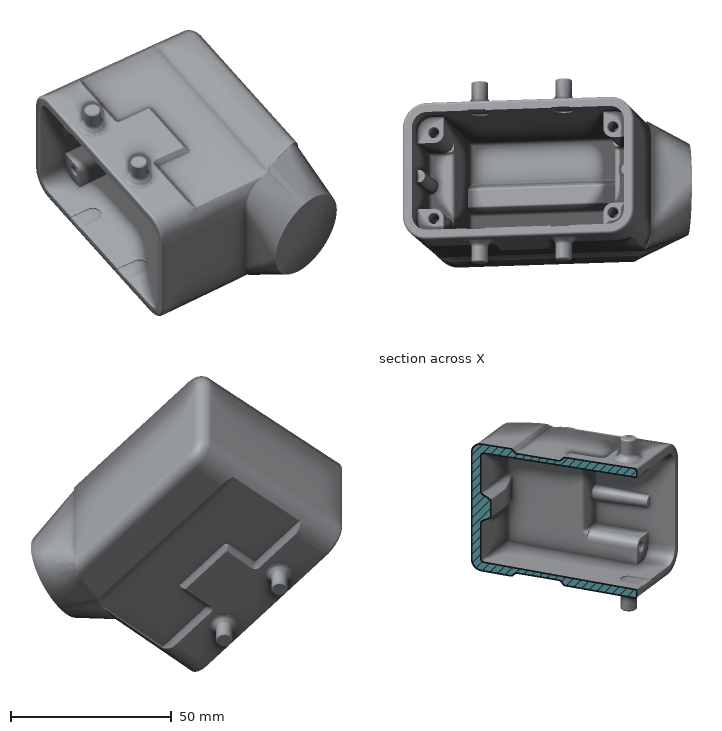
import cadquery as cq
import math


body_length = 73.1
body_width = 43.2
body_height = 57.1
corner_radius = 7.7
roof_fillet = 3.6
rim_fillet = 0.8
outer_draft = 0.5
wall = 3.0

cavity_depth = 53.65
inner_draft = 0.6
floor_fillet = 0.9
post_end_depth = 9.1
pocket_depth = 27.25
pocket_half_width = 10.4
centre_length = 50.6
post_fillet = 3.0
shoulder_fillet = 1.1
post_hole_x = 28.4
post_hole_z = 13.5
post_hole_diameter = 3.2
post_hole_depth = 10.2
post_hole_chamfer = 0.25

rib_end_depth = 8.5
rib_radius = 2.0
rib_centre_x = 33.05
rib_draft = 2.0

ridge_half_base = 4.7
ridge_half_top = 3.0
ridge_height = 3.4
ridge_fillet = 0.7
ramp_length = 8.1
ramp_drop = 1.9

pin_x = 13.3
pin_y = 6.2
pin_radius = 2.55
pin_tip_z = 28.49
pin_tip_chamfer = 0.3
pin_foot_radius = 4.1
pin_foot_fillet = 1.45
pin_relief_radius = 2.8
pin_relief_depth = 0.25

panel_z = 19.9
panel_half_length = 32.6
panel_bottom = 14.7
panel_top = 41.7
panel_slope = 48.0
tongue_half_width = 11.6
tongue_top = 26.6
tongue_bevel = 0.85

outlet_tilt = math.radians(15.0)
outlet_x = 45.0
outlet_y = 47.6
outlet_radius = 14.2
outlet_root_distance = 14.6
outlet_root_lean = 0.12
outlet_root_half_height = 14.1
outlet_root_half_width = 21.0
outlet_upper_corner = 5.1
outlet_lower_corner = 6.8
outlet_step = 2.0


def up_plane(x=0.0, y=0.0, z=0.0):
    """Plane facing +Y, with its first axis along +X."""
    return cq.Workplane(cq.Plane(origin=(x, y, z), xDir=(1, 0, 0), normal=(0, 1, 0)))


def box(x0, x1, y0, y1, half_width):
    return (
        cq.Workplane("XY")
        .box(x1 - x0, y1 - y0, 2 * half_width, centered=(False, False, True))
        .translate((x0, y0, 0))
    )


def drafted_block(length, width, radius, height, draft):
    outline = cq.Sketch().rect(length, width).vertices().fillet(radius)
    return up_plane().placeSketch(outline).extrude(height, taper=draft)


def outer_body():
    body = drafted_block(body_length, body_width, corner_radius, body_height, outer_draft)
    body = body.faces(">Y").edges().fillet(roof_fillet)
    return body.faces("<Y").edges().fillet(rim_fillet)


def post_rounding(side_x, side_z):
    """Clearance that rounds off the inner corner of a post, down to the pocket floor fillet."""
    corner_x = centre_length / 2
    corner_z = pocket_half_width
    bend = post_fillet * (1 - math.sqrt(0.5))
    overlap = 0.4
    outline = (
        up_plane()
        .moveTo(corner_x, corner_z + post_fillet)
        .threePointArc((corner_x + bend, corner_z + bend), (corner_x + post_fillet, corner_z))
        .lineTo(corner_x + post_fillet, corner_z - overlap)
        .lineTo(corner_x - overlap, corner_z - overlap)
        .lineTo(corner_x - overlap, corner_z + post_fillet)
        .close()
    )
    rounding = outline.extrude(pocket_depth - floor_fillet)
    if side_x < 0:
        rounding = rounding.mirror("YZ")
    return rounding if side_z < 0 else rounding.mirror("XY")


def end_pocket(side, inner):
    """Space between the two posts of one end."""
    half_length = body_length / 2
    half_centre = centre_length / 2
    pocket = box(half_centre - 2 * shoulder_fillet, half_length, 0, pocket_depth, pocket_half_width)
    pocket = pocket.intersect(inner)
    floor_walls = pocket.faces(">Y").edges().edges(cq.selectors.BoxSelector(
        (half_centre, 0, -body_width), (half_length, body_height, body_width)
    ))
    pocket = floor_walls.fillet(floor_fillet)
    return pocket if side > 0 else pocket.mirror("YZ")


def cavity():
    half_length = body_length / 2
    half_centre = centre_length / 2
    inner = drafted_block(
        body_length - 2 * wall, body_width - 2 * wall, corner_radius - wall, cavity_depth, inner_draft
    )
    centre = box(-half_centre, half_centre, 0, cavity_depth, body_width / 2).intersect(inner)
    space = centre.cut(floor_ridge()).faces(">Y").edges().fillet(floor_fillet)
    for side in (-1, 1):
        space = space.union(end_pocket(side, inner))
    shoulders = []
    for x in (-half_centre, half_centre):
        shoulders += space.edges(cq.selectors.NearestToPointSelector((x, pocket_depth, 0))).vals()
    space = space.newObject(shoulders).fillet(shoulder_fillet)
    for side_x in (-1, 1):
        for side_z in (-1, 1):
            space = space.union(post_rounding(side_x, side_z))
    mouth = box(-half_length, half_length, 0, post_end_depth, body_width / 2).intersect(inner)
    rib = end_rib()
    return space.union(mouth).cut(rib).cut(rib.mirror("YZ"))


def end_rib():
    wall_x = body_length / 2 - wall / 2
    return (
        up_plane(y=rib_end_depth)
        .moveTo(wall_x, -rib_radius)
        .lineTo(rib_centre_x, -rib_radius)
        .threePointArc((rib_centre_x - rib_radius, 0), (rib_centre_x, rib_radius))
        .lineTo(wall_x, rib_radius)
        .close()
        .extrude(pocket_depth - rib_end_depth + 0.85, taper=-rib_draft)
    )


def post_holes():
    radius = post_hole_diameter / 2
    profile = (
        cq.Workplane("XY")
        .polyline([
            (0, 0),
            (radius + post_hole_chamfer, 0),
            (radius, post_hole_chamfer),
            (radius, post_hole_depth),
            (0, post_hole_depth),
        ])
        .close()
        .revolve(360, (0, 0, 0), (0, 1, 0))
    )
    holes = cq.Workplane("XY")
    for x in (-post_hole_x, post_hole_x):
        for z in (-post_hole_z, post_hole_z):
            holes = holes.add(profile.translate((x, post_end_depth, z)))
    return holes.combine()


def floor_ridge():
    end_x = centre_length / 2
    crest_y = cavity_depth - ridge_height
    section = [
        (cavity_depth, -ridge_half_base),
        (crest_y, -ridge_half_top),
        (crest_y, ridge_half_top),
        (cavity_depth, ridge_half_base),
    ]
    ridge = cq.Workplane("YZ", origin=(-end_x, 0, 0)).polyline(section).close().extrude(centre_length)
    ramp = (
        cq.Workplane("XY")
        .polyline([(end_x - ramp_length, crest_y), (end_x, crest_y), (end_x, crest_y + ramp_drop)])
        .close()
        .extrude(ridge_half_base, both=True)
    )
    ridge = ridge.cut(ramp)
    return ridge.edges(cq.selectors.BoxSelector(
        (-end_x + 0.85, crest_y - 0.85, -ridge_half_base), (end_x - 0.85, cavity_depth - 0.1, ridge_half_base)
    )).edges("not |Z").fillet(ridge_fillet)


def locking_pin(x, side):
    root_z = body_width / 2
    sink_z = root_z - wall / 2
    cone_top_z = root_z + pin_foot_radius - pin_radius
    blend = pin_foot_fillet * math.tan(math.radians(22.5))
    slant = blend * math.sqrt(0.5)
    near = blend - pin_foot_fillet * math.sin(math.radians(22.5))
    far = pin_foot_fillet * (1 - math.cos(math.radians(22.5)))
    pin = (
        cq.Workplane("XZ")
        .moveTo(0, sink_z)
        .lineTo(pin_foot_radius + blend, sink_z)
        .lineTo(pin_foot_radius + blend, root_z)
        .threePointArc((pin_foot_radius + near, root_z + far), (pin_foot_radius - slant, root_z + slant))
        .lineTo(pin_radius + slant, cone_top_z - slant)
        .threePointArc((pin_radius + far, cone_top_z + near), (pin_radius, cone_top_z + blend))
        .lineTo(pin_radius, pin_tip_z - pin_tip_chamfer)
        .lineTo(pin_radius - pin_tip_chamfer, pin_tip_z)
        .lineTo(0, pin_tip_z)
        .close()
        .revolve(360, (0, 0, 0), (0, 1, 0))
    )
    if side < 0:
        pin = pin.mirror("XY")
    return pin.translate((x, pin_y, 0))


def pin_relief(x):
    """Shallow round-ended slots in both inner walls behind a pin."""
    half_width = body_width / 2 - wall + pin_relief_depth
    slot = box(x - pin_relief_radius, x + pin_relief_radius, 0, pin_y, half_width)
    slot_end = cq.Workplane("XY").center(x, pin_y).circle(pin_relief_radius).extrude(half_width, both=True)
    return slot.union(slot_end)


def panel_recess(side):
    bevel = tongue_bevel
    outline = [
        (-panel_half_length, panel_bottom),
        (-tongue_half_width, panel_bottom),
        (-tongue_half_width, tongue_top - bevel),
        (-tongue_half_width + bevel, tongue_top),
        (tongue_half_width - bevel, tongue_top),
        (tongue_half_width, tongue_top - bevel),
        (tongue_half_width, panel_bottom),
        (panel_half_length, panel_bottom),
        (panel_half_length, panel_top),
        (-panel_half_length, panel_top),
    ]
    recess = (
        cq.Workplane("XY", origin=(0, 0, panel_z))
        .polyline(outline)
        .close()
        .extrude(body_width / 2 - panel_z + 0.85, taper=-panel_slope)
    )
    return recess if side > 0 else recess.mirror("XY")


def outlet_point(along, across, z):
    """Point in the outlet's own frame: along its axis, across it, and Z."""
    x = outlet_x + along * math.cos(outlet_tilt) - across * math.sin(outlet_tilt)
    y = outlet_y + along * math.sin(outlet_tilt) + across * math.cos(outlet_tilt)
    return cq.Vector(x, y, z)


def root_point(across, z):
    return outlet_point(-outlet_root_distance - outlet_root_lean * across, across, z)


def mouth_point(angle):
    """Point on the round mouth; the angle runs from the top towards +Z."""
    return outlet_point(0, outlet_radius * math.cos(angle), outlet_radius * math.sin(angle))


def flat_face(*points):
    return cq.Face.makeFromWires(cq.Wire.makePolygon(list(points), close=True))


def outlet_seat():
    """Region past the outlet's root plane, cleared from the body before the outlet is added."""
    top = root_point(2 * outlet_radius, 0)
    bottom = root_point(-outlet_root_half_height, 0)
    outline = [(top.x, top.y), (bottom.x, bottom.y), (outlet_x, bottom.y), (outlet_x, top.y)]
    return cq.Workplane("XY").polyline(outline).close().extrude(body_width, both=True)


def outlet():
    high = outlet_root_half_height
    wide = outlet_root_half_width
    narrow = panel_z
    top_mid = root_point(high, 0)
    top_corner = root_point(high, wide - outlet_upper_corner)
    side_high = root_point(high - outlet_upper_corner, wide)
    step_high = root_point(0, wide)
    step_low = root_point(-outlet_step, narrow)
    side_low = root_point(outlet_lower_corner - high, narrow)
    bottom_corner = root_point(-high, narrow - outlet_lower_corner)
    bottom_mid = root_point(-high, 0)

    upper_bend = outlet_upper_corner * (1 - math.sqrt(0.5))
    lower_bend = outlet_lower_corner * (1 - math.sqrt(0.5))
    upper_arc = cq.Edge.makeThreePointArc(
        top_corner, root_point(high - upper_bend, wide - upper_bend), side_high
    )
    lower_arc = cq.Edge.makeThreePointArc(
        side_low, root_point(lower_bend - high, narrow - lower_bend), bottom_corner
    )
    step_edge = cq.Edge.makeLine(step_high, step_low)

    angles = [0, math.pi / 2, math.pi / 2 + math.asin(outlet_step / outlet_radius), math.pi]
    mouth_top, mouth_side, mouth_step, mouth_bottom = [mouth_point(a) for a in angles]
    mouth_arcs = [
        cq.Edge.makeThreePointArc(mouth_point(a), mouth_point((a + b) / 2), mouth_point(b))
        for a, b in zip(angles, angles[1:])
    ]
    root_edges = [
        cq.Edge.makeLine(top_mid, top_corner),
        upper_arc,
        cq.Edge.makeLine(side_high, step_high),
        step_edge,
        cq.Edge.makeLine(step_low, side_low),
        lower_arc,
        cq.Edge.makeLine(bottom_corner, bottom_mid),
        cq.Edge.makeLine(bottom_mid, top_mid),
    ]
    mouth_diameter = cq.Edge.makeLine(mouth_bottom, mouth_top)
    faces = [
        cq.Face.makeFromWires(cq.Wire.assembleEdges(root_edges)),
        cq.Face.makeFromWires(cq.Wire.assembleEdges(mouth_arcs + [mouth_diameter])),
        flat_face(top_mid, mouth_top, mouth_bottom, bottom_mid),
        flat_face(top_mid, top_corner, mouth_top),
        cq.Face.makeRuledSurface(upper_arc, mouth_arcs[0]),
        flat_face(side_high, step_high, mouth_side),
        cq.Face.makeRuledSurface(step_edge, mouth_arcs[1]),
        flat_face(step_low, side_low, mouth_step),
        cq.Face.makeRuledSurface(lower_arc, mouth_arcs[2]),
        flat_face(bottom_corner, bottom_mid, mouth_bottom),
    ]
    half = cq.Workplane(cq.Solid.makeSolid(cq.Shell.makeShell(faces)).fix())
    return half.union(half.mirror("XY"))


result = outer_body()
for side in (-1, 1):
    result = result.cut(panel_recess(side))
result = result.cut(outlet_seat()).union(outlet())
result = result.cut(cavity())
result = result.cut(post_holes())
for x in (-pin_x, pin_x):
    result = result.cut(pin_relief(x))
    for side in (-1, 1):
        result = result.union(locking_pin(x, side))